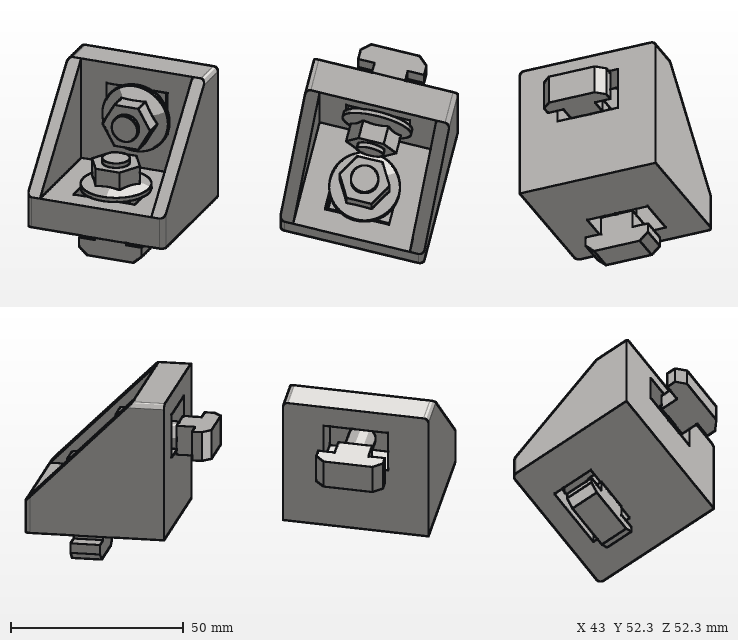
import cadquery as cq

width = 43.0
overall_depth = 52.3
leg = 41.0
plate = 9.5
side_wall = 4.1
edge_radius = 1.45

slot_width = 19.15
slot_start = 21.5
slot_end = 34.5

bolt_offset = 25.4
shank_diameter = 8.0
shank_end = plate + 9.45
flange_radius = 10.25
flange_rim = 1.35
cone_top_radius = 6.45
cone_top = 3.0
nut_across_corners = 14.95
nut_height = 8.05
head_overall = overall_depth - leg
head_gap = 0.6
shoulder = 6.05
neck_width = 9.95
head_width = 19.65
head_thickness = 8.75
head_chamfer_x = 2.6
head_chamfer_z = 2.35


def make_bracket():
    """Gusseted corner bracket with two plates, two side walls and slots."""
    outline = [(0, 0), (-leg, 0), (-leg, plate), (-plate, leg), (0, leg)]
    body = cq.Workplane("YZ").polyline(outline).close().extrude(width / 2, both=True)
    rounded_edges = body.faces("<Y").edges("|Z").add(body.faces(">Z").edges("|Y"))
    body = body.newObject(rounded_edges.vals()).fillet(edge_radius)

    pocket = cq.Workplane("XY").box(
        width - 2 * side_wall, leg, leg, centered=(True, False, False)
    ).translate((0, -plate - leg, plate))

    slot_length = slot_end - slot_start
    slot_middle = (slot_start + slot_end) / 2
    floor_slot = cq.Workplane("XY").box(slot_width, slot_length, 2 * plate)
    floor_slot = floor_slot.translate((0, -slot_middle, plate / 2))
    back_slot = cq.Workplane("XY").box(slot_width, 2 * plate, slot_length)
    back_slot = back_slot.translate((0, -plate / 2, slot_middle))
    return body.cut(pocket).cut(floor_slot).cut(back_slot)


def make_bolt():
    """Bolt and nut along +Z, with the outer plate face at Z = 0."""
    head_outline = [
        (-neck_width / 2, -head_gap),
        (-neck_width / 2, -shoulder),
        (-head_width / 2, -shoulder),
        (-head_width / 2, head_chamfer_z - head_overall),
        (head_chamfer_x - head_width / 2, -head_overall),
        (0, -head_overall),
        (0, -head_gap),
    ]
    half_head = cq.Workplane("XZ").polyline(head_outline).close().extrude(head_thickness / 2, both=True)
    head = half_head.union(half_head.mirror("YZ"))

    shank = (
        cq.Workplane("XY").workplane(offset=-head_gap)
        .circle(shank_diameter / 2).extrude(shank_end + head_gap)
    )
    flange_profile = [
        (0, plate),
        (flange_radius, plate),
        (flange_radius, plate + flange_rim),
        (cone_top_radius, plate + cone_top),
        (0, plate + cone_top),
    ]
    flange = cq.Workplane("XZ").polyline(flange_profile).close().revolve(360, (0, 0), (0, 1))
    nut = (
        cq.Workplane("XY").workplane(offset=plate)
        .polygon(6, nut_across_corners).extrude(nut_height)
    )
    return head.union(shank).union(flange).union(nut)


bolt = make_bolt()
floor_bolt = bolt.translate((0, -bolt_offset, 0))
back_bolt = bolt.rotate((0, 0, 0), (1, 0, 0), 90).translate((0, 0, bolt_offset))

result = make_bracket().union(floor_bolt).union(back_bolt)